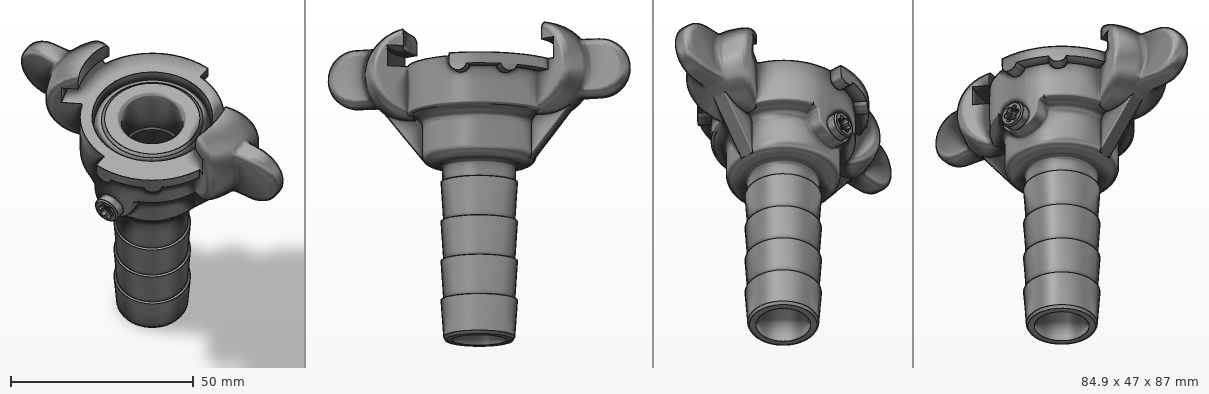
import cadquery as cq
import math

TOP_Z = 87.0
MARGIN = 0.9

TAIL_BORE_R = 15.0 / 2
NECK_R = 20 / 2
BARB_R = 21.0 / 2
BARB_ROOT_R = 9.75
TAIL_TIP_R = 18.5 / 2
TIP_ROUND_HEIGHT = 0.9
BARB_TOP = 43.9
BARB_COUNT = 4
BARB_PITCH = BARB_TOP / BARB_COUNT

HEAD_BASE_Z = 48.9
SHOULDER_Z = 62.2
RIM_Z = 75.9
LOWER_R = 15.6
UPPER_R = 19.75
BASE_ROUND = 2.6
SHOULDER_CORNER = 3.05
SHOULDER_ROUND = 0.7
NECK_CORNER = 1.3

RECESS_R = 33.0 / 2
RECESS_FLOOR_Z = 62.3
SEAL_TOP_Z = RIM_Z - 0.8
SEAL_R = 15.9
SEAL_SHOULDER_R = 13.9
SEAL_FACE_R = 13.05
SEAL_BORE_R = 17.0 / 2
SEAL_BORE_ROUND = 1.4
SEAL_FACE_DROP = 0.6

FLANGE_R = 23.5
FLANGE_BOTTOM_Z = 72.8
STOP_R = 2.5
STOP_AXIS_Z = 73.5
STOP_ANGLES = (0, 35)
FLANGE_SWEEP = 70

DOME_AXIS_X = 14.4
DOME_OFFSET = 4.4
DOME_ROUND_R = 12.8
WEDGE_APEX_X = 6.3
WEDGE_HALF_ANGLE = 29.5
WEDGE_INNER_X = 17.4
WEDGE_OUTER_X = 41.8
CLAW_EDGE_ROUND = 2.1
CLAW_CORNER = 0.5
SIDE_JOINT_Y = 7.8
HOOK_R = 20.9
HOOK_TIP_REACH = HOOK_R - DOME_AXIS_X - DOME_OFFSET
DOME_Z = TOP_Z - math.sqrt(DOME_ROUND_R**2 - HOOK_TIP_REACH**2)
HOOK_BOTTOM_Z = 81.7
SLOT_R = 25.4

HANDLE_TIP_X = 84.9 / 2
HANDLE_R = 8.0
HANDLE_Z = 74.1
HANDLE_ROOT_X = 26.1
HANDLE_TIP_HALF = 2.8
HANDLE_ROOT_HALF = 3.65
HANDLE_ROUND = 2.0
HANDLE_CORNER = 1.65
JOINT_X = (27.8, 32.2)

RIB_THICKNESS = 4.5
RIB_FOOT = (14.9, 49.8)
RIB_HEAD = (29.1, 67.4)
RIB_INNER_X = 12.2
RIB_ROUND = 0.4

BOSS_R = 6.3
BOSS_Z = 60.0
BOSS_FLARE = 1.6
BOSS_ROOT_Y = 12.2
BOSS_RIM_Y = 17.8
BOSS_CORNER = 0.5
BOSS_EDGE_ROUND = 0.4
SCREW_R = 3.7
SCREW_Z = 57.7
SCREW_INNER_Y = 13.05
SCREW_OUTER_Y = 22.45
SCREW_CHAMFER = 0.4
SOCKET_DEPTH = 2.2
SOCKET_CORE_R = 3.7 / 2
SOCKET_LOBE_R = 0.7
SOCKET_LOBE_CIRCLE_R = 1.8
SOCKET_LOBES = 6


def half_turn(shape):
    """The matching copy on the opposite side of the coupling axis."""
    return shape.rotate((0, 0, 0), (0, 0, 1), 180)


def disc(radius, bottom, top):
    """Solid cylinder about the coupling axis between two heights."""
    return cq.Workplane("XY").workplane(offset=bottom).circle(radius).extrude(top - bottom)


def extrude_symmetric_plan(inner_x, inner_half, outer_x, outer_half):
    """Full-height block whose half width in Y changes evenly between two X positions."""
    corners = [
        (inner_x, -inner_half),
        (outer_x, -outer_half),
        (outer_x, outer_half),
        (inner_x, inner_half),
    ]
    return cq.Workplane("XY").polyline(corners).close().extrude(TOP_Z + MARGIN)


def add_arc(profile, start_angle, centre, radius, sweep):
    """Extend a profile by an arc about `centre`, from `start_angle` through `sweep` degrees."""
    middle = math.radians(start_angle + sweep / 2)
    end = math.radians(start_angle + sweep)
    return profile.threePointArc(
        (centre[0] + radius * math.cos(middle), centre[1] + radius * math.sin(middle)),
        (centre[0] + radius * math.cos(end), centre[1] + radius * math.sin(end)),
    )


def make_core():
    """Hose tail and round head, turned about Z."""
    profile = cq.Workplane("XZ").moveTo(0, 0).lineTo(TAIL_TIP_R, 0)
    profile = profile.lineTo(BARB_ROOT_R, TIP_ROUND_HEIGHT)
    for barb in range(1, BARB_COUNT + 1):
        next_r = BARB_ROOT_R if barb < BARB_COUNT else NECK_R
        profile = profile.lineTo(BARB_R, barb * BARB_PITCH)
        profile = profile.lineTo(next_r, barb * BARB_PITCH)
    profile = profile.lineTo(NECK_R, HEAD_BASE_Z - NECK_CORNER)
    profile = add_arc(
        profile, 180, (NECK_R + NECK_CORNER, HEAD_BASE_Z - NECK_CORNER), NECK_CORNER, -90
    )
    profile = profile.lineTo(LOWER_R - BASE_ROUND, HEAD_BASE_Z)
    profile = add_arc(
        profile, -90, (LOWER_R - BASE_ROUND, HEAD_BASE_Z + BASE_ROUND), BASE_ROUND, 90
    )
    profile = profile.lineTo(LOWER_R, SHOULDER_Z - SHOULDER_CORNER)
    profile = add_arc(
        profile, 180, (LOWER_R + SHOULDER_CORNER, SHOULDER_Z - SHOULDER_CORNER), SHOULDER_CORNER, -90
    )
    profile = profile.lineTo(UPPER_R - SHOULDER_ROUND, SHOULDER_Z)
    profile = add_arc(
        profile, -90, (UPPER_R - SHOULDER_ROUND, SHOULDER_Z + SHOULDER_ROUND), SHOULDER_ROUND, 90
    )
    profile = profile.lineTo(UPPER_R, RIM_Z).lineTo(0, RIM_Z).close()
    return profile.revolve(360, (0, 0, 0), (0, 1, 0))


def make_flange():
    """Flange sector on the -Y side with its two round-bottomed stops."""
    reach = 2 * FLANGE_R
    sweep = math.radians(FLANGE_SWEEP)
    sector = (
        cq.Workplane("XY")
        .workplane(offset=FLANGE_BOTTOM_Z)
        .polyline(
            [
                (0, 0),
                (0, -reach),
                (reach, -reach),
                (reach * math.sin(sweep), -reach * math.cos(sweep)),
            ]
        )
        .close()
        .extrude(RIM_Z - FLANGE_BOTTOM_Z)
    )
    stop_web = (
        cq.Workplane("XY", origin=(0, -reach / 2, STOP_AXIS_Z))
        .rect(2 * STOP_R, reach)
        .extrude(RIM_Z - STOP_AXIS_Z)
    )
    for angle in STOP_ANGLES:
        stop = (
            cq.Workplane("XZ")
            .center(0, STOP_AXIS_Z)
            .circle(STOP_R)
            .extrude(reach)
            .union(stop_web)
            .rotate((0, 0, 0), (0, 0, 1), angle)
        )
        sector = sector.union(stop)
    return sector.intersect(disc(FLANGE_R, 0, RIM_Z)).cut(disc(RECESS_R, 0, RIM_Z))


def make_claw():
    """Domed claw on the +X side, bounded by two slanted side planes."""
    dome = (
        cq.Workplane("XZ")
        .moveTo(0, DOME_Z - DOME_ROUND_R)
        .lineTo(DOME_OFFSET, DOME_Z - DOME_ROUND_R)
        .threePointArc((DOME_OFFSET + DOME_ROUND_R, DOME_Z), (DOME_OFFSET, DOME_Z + DOME_ROUND_R))
        .lineTo(0, DOME_Z + DOME_ROUND_R)
        .close()
        .revolve(360, (0, 0, 0), (0, 1, 0))
        .translate((DOME_AXIS_X, 0, 0))
    )
    slope = math.tan(math.radians(WEDGE_HALF_ANGLE))
    inner_half = (WEDGE_INNER_X - WEDGE_APEX_X) * slope
    outer_half = (WEDGE_OUTER_X - WEDGE_APEX_X) * slope
    wedge = extrude_symmetric_plan(WEDGE_INNER_X, inner_half, WEDGE_OUTER_X, outer_half)
    claw = dome.intersect(wedge)
    side_planes = claw.faces("%Plane").faces("not |X").faces("not |Z")
    return side_planes.edges("not |Z").fillet(CLAW_EDGE_ROUND)


def make_handle():
    """Tapered, rounded grip standing out from the claw along +X."""
    grip = (
        cq.Workplane("XZ")
        .moveTo(HANDLE_ROOT_X, HANDLE_Z - HANDLE_R)
        .lineTo(HANDLE_TIP_X - HANDLE_R, HANDLE_Z - HANDLE_R)
        .threePointArc((HANDLE_TIP_X, HANDLE_Z), (HANDLE_TIP_X - HANDLE_R, HANDLE_Z + HANDLE_R))
        .lineTo(HANDLE_ROOT_X, HANDLE_Z + HANDLE_R)
        .close()
        .extrude(HANDLE_R, both=True)
    )
    taper = extrude_symmetric_plan(HANDLE_ROOT_X, HANDLE_ROOT_HALF, HANDLE_TIP_X, HANDLE_TIP_HALF)
    grip = grip.intersect(taper)
    return grip.faces(">Y or <Y").edges("not <X").fillet(HANDLE_ROUND)


def make_rib():
    """Sloping web from the lower head up to the claw."""
    return (
        cq.Workplane("XZ")
        .polyline([(RIB_INNER_X, RIB_FOOT[1]), RIB_FOOT, RIB_HEAD, (RIB_INNER_X, RIB_HEAD[1])])
        .close()
        .extrude(RIB_THICKNESS / 2, both=True)
        .faces(">X")
        .edges("not |Y")
        .fillet(RIB_ROUND)
    )


def make_boss():
    """Screw boss hanging below the shoulder, flush with the upper head."""
    top = SHOULDER_Z + SHOULDER_ROUND
    flare_z = SHOULDER_Z - BOSS_FLARE
    boss = cq.Workplane("XZ", origin=(0, -BOSS_ROOT_Y, 0)).moveTo(-BOSS_R - BOSS_FLARE, top)
    boss = boss.lineTo(-BOSS_R - BOSS_FLARE, SHOULDER_Z)
    boss = add_arc(boss, 90, (-BOSS_R - BOSS_FLARE, flare_z), BOSS_FLARE, -90)
    boss = boss.lineTo(-BOSS_R, BOSS_Z)
    boss = boss.threePointArc((0, BOSS_Z - BOSS_R), (BOSS_R, BOSS_Z))
    boss = boss.lineTo(BOSS_R, flare_z)
    boss = add_arc(boss, 180, (BOSS_R + BOSS_FLARE, flare_z), BOSS_FLARE, -90)
    boss = boss.lineTo(BOSS_R + BOSS_FLARE, top).close().extrude(UPPER_R)
    boss = boss.intersect(disc(UPPER_R, 0, RIM_Z))
    lower_rim = cq.selectors.BoxSelector(
        (-BOSS_R - MARGIN, -UPPER_R, 0), (BOSS_R + MARGIN, -BOSS_RIM_Y, SHOULDER_Z)
    )
    return boss.faces("<Y").edges(lower_rim).edges("not |Y").fillet(BOSS_EDGE_ROUND)


def make_screw_blank():
    """Plain cylinder that fills the screw hole, shared by the screw and the housing."""
    return (
        cq.Workplane("XZ", origin=(0, -SCREW_INNER_Y, SCREW_Z))
        .circle(SCREW_R)
        .extrude(SCREW_OUTER_Y - SCREW_INNER_Y)
    )


def make_arm():
    """Claw, handle and rib on the +X side, hollowed for the mating flange."""
    arm = make_claw().union(make_handle())
    handle_joint = cq.selectors.BoxSelector(
        (JOINT_X[0], -HANDLE_ROOT_HALF, HANDLE_Z - HANDLE_R - MARGIN),
        (JOINT_X[1], HANDLE_ROOT_HALF, HANDLE_Z + HANDLE_R + MARGIN),
    )
    arm = arm.edges(handle_joint).fillet(HANDLE_CORNER).union(make_rib())
    flange_slot = disc(SLOT_R, RIM_Z, HOOK_BOTTOM_Z)
    hook_clearance = disc(HOOK_R, RIM_Z, TOP_Z + MARGIN)
    return arm.cut(flange_slot).cut(hook_clearance)


def make_head():
    """Turned core with the screw boss blended into it."""
    boss_half = BOSS_R + BOSS_FLARE + BOSS_CORNER
    boss_root = cq.selectors.BoxSelector(
        (-boss_half, -BOSS_RIM_Y, HEAD_BASE_Z), (boss_half, -BOSS_ROOT_Y, SHOULDER_Z)
    )
    return make_core().union(make_boss()).edges(boss_root).fillet(BOSS_CORNER)


def make_housing():
    """Coupling head, hose tail, claws and flange as one casting."""
    arm = make_arm()
    flange = make_flange()
    housing = make_head()
    for part in (arm, flange):
        housing = housing.union(part).union(half_turn(part))
    claw_sides = cq.selectors.BoxSelector(
        (-UPPER_R, -SIDE_JOINT_Y, SHOULDER_Z), (UPPER_R, SIDE_JOINT_Y, FLANGE_BOTTOM_Z)
    )
    housing = housing.edges(claw_sides).edges("|Z").fillet(CLAW_CORNER)
    housing = housing.cut(disc(RECESS_R, RECESS_FLOOR_Z, RIM_Z))
    housing = housing.cut(disc(TAIL_BORE_R, 0, RIM_Z))
    return housing.cut(make_screw_blank())


def make_seal():
    """Sealing ring resting on the floor of the recess."""
    drop = SEAL_TOP_Z - SEAL_FACE_DROP
    side_round = SEAL_R - SEAL_SHOULDER_R
    profile = cq.Workplane("XZ").moveTo(SEAL_BORE_R, RECESS_FLOOR_Z).lineTo(SEAL_R, RECESS_FLOOR_Z)
    profile = profile.lineTo(SEAL_R, drop - side_round)
    profile = add_arc(profile, 0, (SEAL_SHOULDER_R, drop - side_round), side_round, 90)
    profile = profile.lineTo(SEAL_FACE_R, SEAL_TOP_Z)
    profile = profile.lineTo(SEAL_BORE_R + SEAL_BORE_ROUND, SEAL_TOP_Z)
    profile = add_arc(
        profile,
        90,
        (SEAL_BORE_R + SEAL_BORE_ROUND, SEAL_TOP_Z - SEAL_BORE_ROUND),
        SEAL_BORE_ROUND,
        90,
    )
    return profile.close().revolve(360, (0, 0, 0), (0, 1, 0))


def make_screw():
    """Headless screw with a six-lobed socket in its outer end."""
    socket_floor = cq.Workplane("XZ", origin=(0, SOCKET_DEPTH - SCREW_OUTER_Y, SCREW_Z))
    socket = socket_floor.circle(SOCKET_CORE_R).extrude(SOCKET_DEPTH)
    lobes = (
        socket_floor.polarArray(SOCKET_LOBE_CIRCLE_R, 0, 360, SOCKET_LOBES)
        .circle(SOCKET_LOBE_R)
        .extrude(SOCKET_DEPTH)
    )
    return make_screw_blank().faces("<Y").chamfer(SCREW_CHAMFER).cut(socket.union(lobes))


housing = make_housing()
seal = make_seal()
screw = make_screw()
result = cq.Compound.makeCompound([housing.val(), seal.val(), screw.val()])